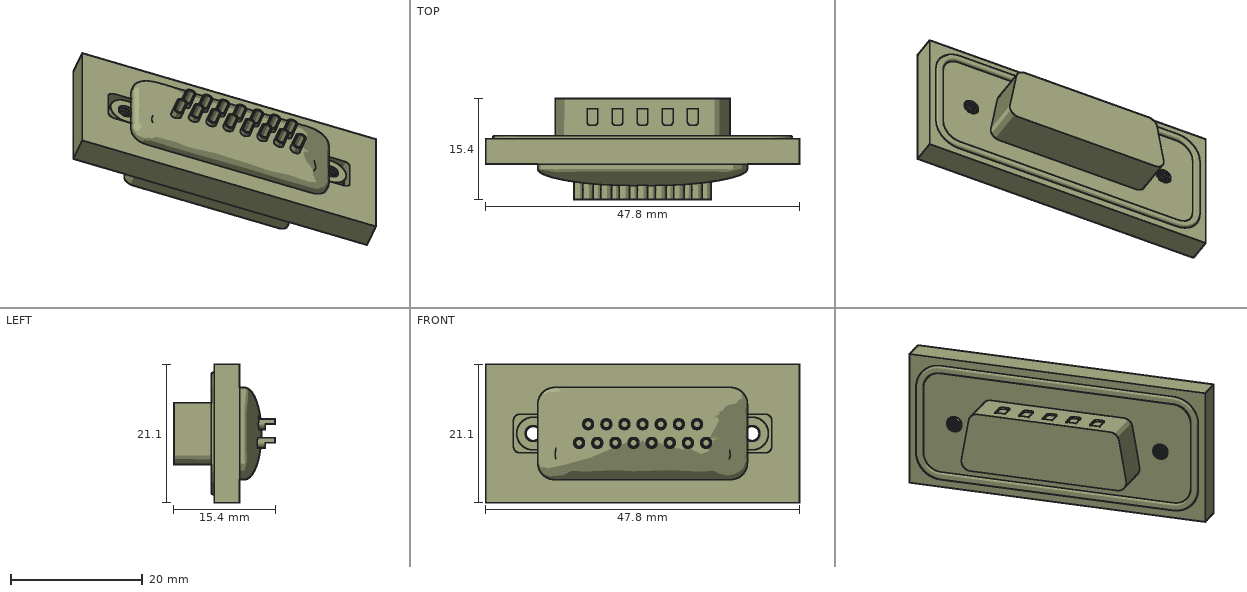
import cadquery as cq
import math


PANEL_LENGTH = 47.78
PANEL_HEIGHT = 21.1
PANEL_THICKNESS = 3.9

SCREW_SPACING = 33.3
BOSS_RADIUS = 2.5
BOSS_RECESS = 0.3
POCKET_OUTER_X = 19.65
POCKET_INNER_X = 14.5
POCKET_HEIGHT = 5.9
POCKET_CORNER_RADIUS = 1.0
POCKET_DEPTH = 2.5

THREAD_MINOR_RADIUS = 1.08
THREAD_MAJOR_RADIUS = 1.2
THREAD_PITCH = 0.6

SEAL_LENGTH = 45.6
SEAL_HEIGHT = 18.6
SEAL_CORNER_RADIUS = 4.0
SEAL_WIDTH = 1.2
SEAL_THICKNESS = 0.43
SEAL_EDGE_RADIUS = 0.33

CORE_WIDTH = 26.64
CORE_HEIGHT = 9.44
CORE_CORNER_RADIUS = 1.5
FLANK_ANGLE = math.radians(10)
CORE_MATING_Y = 10.0
CORE_WIRING_Y = -2.0

DIMPLE_COUNT = 5
DIMPLE_PITCH = 3.82
DIMPLE_WIDTH = 1.63
DIMPLE_MATING_Y = 8.4
DIMPLE_PANEL_Y = 5.92
DIMPLE_CORNER_RADIUS = 0.5
DIMPLE_DEPTH = 0.3

CONTACT_PITCH = 2.76
ROW_SPACING = 2.84
UPPER_ROW_COUNT = 7
LOWER_ROW_COUNT = 8
CONTACT_RADIUS = 0.81
CUP_RADIUS = 0.57
CONTACT_TIP_Y = -5.4
CUP_LIP_Y = -3.9
CUP_FLOOR_Y = -2.6

DOME_LENGTH = 31.92
DOME_HEIGHT = 14.04
DOME_CORNER_RADIUS = 2.6
DOME_RIM = 0.7
DOME_DEPTH = 3.32
DOME_SECTIONS = 10
APEX_SCALE = 0.02


def plane_at(y):
    """Sketch plane across the mating axis: local x is X, local y is Z, its normal is -Y."""
    return cq.Workplane("XZ", origin=(0, y, 0))


def rounded_bar(length, height, radius, y_back, y_front):
    """Rounded rectangle centred on the mating axis, between two y positions."""
    bar = plane_at(y_back).rect(length, height).extrude(y_back - y_front)
    return bar.edges("|Y").fillet(radius)


def core_prism():
    """D-shaped prism of the connector core."""
    half_height = CORE_HEIGHT / 2
    radius = CORE_CORNER_RADIUS
    low_centre = (CORE_WIDTH / 2 - radius, radius - half_height)
    centre_rise = CORE_HEIGHT - 2 * radius
    high_centre = (low_centre[0] - centre_rise * math.tan(FLANK_ANGLE), half_height - radius)

    def on_arc(centre, angle, side):
        return (side * (centre[0] + radius * math.cos(angle)), centre[1] + radius * math.sin(angle))

    down = -math.pi / 2
    up = math.pi / 2
    low_middle = (down + FLANK_ANGLE) / 2
    high_middle = (up + FLANK_ANGLE) / 2
    outline = (
        plane_at(CORE_MATING_Y)
        .moveTo(*on_arc(low_centre, down, -1))
        .lineTo(*on_arc(low_centre, down, 1))
        .threePointArc(on_arc(low_centre, low_middle, 1), on_arc(low_centre, FLANK_ANGLE, 1))
        .lineTo(*on_arc(high_centre, FLANK_ANGLE, 1))
        .threePointArc(on_arc(high_centre, high_middle, 1), on_arc(high_centre, up, 1))
        .lineTo(*on_arc(high_centre, up, -1))
        .threePointArc(on_arc(high_centre, high_middle, -1), on_arc(high_centre, FLANK_ANGLE, -1))
        .lineTo(*on_arc(low_centre, FLANK_ANGLE, -1))
        .threePointArc(on_arc(low_centre, low_middle, -1), on_arc(low_centre, down, -1))
        .close()
    )
    return outline.extrude(CORE_MATING_Y - CORE_WIRING_Y)


def dimple(x):
    """Recess in the core's top face, rounded at the end nearer the panel."""
    length = DIMPLE_MATING_Y - DIMPLE_PANEL_Y
    middle_y = (DIMPLE_MATING_Y + DIMPLE_PANEL_Y) / 2
    return (
        cq.Workplane("XY", origin=(x, middle_y, CORE_HEIGHT / 2 - DIMPLE_DEPTH))
        .rect(DIMPLE_WIDTH, length)
        .extrude(DIMPLE_DEPTH)
        .edges("|Z and <Y")
        .fillet(DIMPLE_CORNER_RADIUS)
    )


def contact_places():
    """X, Z places of all contacts, in two staggered rows."""
    rows = ((UPPER_ROW_COUNT, ROW_SPACING / 2), (LOWER_ROW_COUNT, -ROW_SPACING / 2))
    return [((i - (count - 1) / 2) * CONTACT_PITCH, z) for count, z in rows for i in range(count)]


def contact_rods():
    """Plain cylinders of all contacts, from the core's wiring face to the tips."""
    circles = plane_at(CORE_WIRING_Y).pushPoints(contact_places()).circle(CONTACT_RADIUS)
    return circles.extrude(CORE_WIRING_Y - CONTACT_TIP_Y)


def solder_cup(x, z):
    """Material removed from one rod: the bore, and the lower half beyond the lip."""
    bore = plane_at(CUP_FLOOR_Y).center(x, z).circle(CUP_RADIUS).extrude(CUP_FLOOR_Y - CONTACT_TIP_Y)
    lower_half = (
        plane_at(CUP_LIP_Y)
        .center(x, z - CONTACT_RADIUS / 2)
        .rect(2 * CONTACT_RADIUS, CONTACT_RADIUS)
        .extrude(CUP_LIP_Y - CONTACT_TIP_Y)
    )
    return bore.union(lower_half)


def make_connector():
    """D-shaped core with its dimples and contacts."""
    connector = core_prism().union(contact_rods())
    for i in range(DIMPLE_COUNT):
        connector = connector.cut(dimple((i - (DIMPLE_COUNT - 1) / 2) * DIMPLE_PITCH))
    for x, z in contact_places():
        connector = connector.cut(solder_cup(x, z))
    return connector


def screw_pocket():
    """Pocket at the +X end, leaving the rounded screw boss standing in it."""
    length = POCKET_OUTER_X - POCKET_INNER_X
    screw_x = SCREW_SPACING / 2
    pocket = (
        plane_at(0)
        .center((POCKET_OUTER_X + POCKET_INNER_X) / 2, 0)
        .rect(length, POCKET_HEIGHT)
        .extrude(-POCKET_DEPTH)
        .edges("|Y and >X")
        .fillet(POCKET_CORNER_RADIUS)
    )
    boss = (
        plane_at(BOSS_RECESS)
        .moveTo(POCKET_INNER_X, BOSS_RADIUS)
        .lineTo(screw_x, BOSS_RADIUS)
        .threePointArc((screw_x + BOSS_RADIUS, 0), (screw_x, -BOSS_RADIUS))
        .lineTo(POCKET_INNER_X, -BOSS_RADIUS)
        .close()
        .extrude(BOSS_RECESS - POCKET_DEPTH)
    )
    return pocket.cut(boss)


def threaded_hole():
    """Screw hole at the +X end: V-shaped ring grooves over a plain bore."""
    outline = cq.Workplane("XY", origin=(SCREW_SPACING / 2, 0, 0)).moveTo(0, BOSS_RECESS)
    outline = outline.lineTo(THREAD_MAJOR_RADIUS, BOSS_RECESS)
    turns = math.floor((PANEL_THICKNESS - BOSS_RECESS) / THREAD_PITCH)
    pitch = (PANEL_THICKNESS - BOSS_RECESS) / turns
    for turn in range(turns):
        start = BOSS_RECESS + turn * pitch
        outline = outline.lineTo(THREAD_MINOR_RADIUS, start + pitch / 2)
        outline = outline.lineTo(THREAD_MAJOR_RADIUS, start + pitch)
    return outline.lineTo(0, PANEL_THICKNESS).close().revolve(360, (0, 0), (0, 1))


def make_panel():
    """Rectangular panel with the core's opening, two screw pockets and two threaded holes."""
    panel = plane_at(PANEL_THICKNESS).rect(PANEL_LENGTH, PANEL_HEIGHT).extrude(PANEL_THICKNESS)
    panel = panel.cut(core_prism())
    for cutter in (screw_pocket(), threaded_hole()):
        panel = panel.cut(cutter).cut(cutter.mirror("YZ"))
    return panel


def make_seal():
    """Flat seal ring with rounded upper edges."""
    back = PANEL_THICKNESS + SEAL_THICKNESS
    outer = rounded_bar(SEAL_LENGTH, SEAL_HEIGHT, SEAL_CORNER_RADIUS, back, PANEL_THICKNESS)
    inner = rounded_bar(
        SEAL_LENGTH - 2 * SEAL_WIDTH,
        SEAL_HEIGHT - 2 * SEAL_WIDTH,
        SEAL_CORNER_RADIUS - SEAL_WIDTH,
        back,
        PANEL_THICKNESS,
    )
    return outer.cut(inner).faces(">Y").edges().fillet(SEAL_EDGE_RADIUS)


def dome_section(angle):
    """Rounded rectangle of the crown at an angle along its quarter ellipse, 0 being at the rim."""
    scale = math.cos(angle)
    depth = (DOME_DEPTH - DOME_RIM) * math.sin(angle)
    section = cq.Sketch().rect(DOME_LENGTH * scale, DOME_HEIGHT * scale)
    section = section.vertices().fillet(DOME_CORNER_RADIUS * scale)
    return section.moved(cq.Location(cq.Vector(0, 0, depth)))


def make_dome():
    """Straight rim under a crown of quarter-ellipse profile, moulded around the core and contacts."""
    rim = rounded_bar(DOME_LENGTH, DOME_HEIGHT, DOME_CORNER_RADIUS, 0, -DOME_RIM)
    last_angle = math.acos(APEX_SCALE)
    sections = [dome_section(last_angle * i / DOME_SECTIONS) for i in range(DOME_SECTIONS + 1)]
    crown = plane_at(-DOME_RIM).placeSketch(*sections).loft()
    return rim.union(crown).cut(core_prism()).cut(contact_rods())


connector = make_connector()
panel = make_panel()
seal = make_seal()
dome = make_dome()

result = cq.Compound.makeCompound([panel.val(), seal.val(), connector.val(), dome.val()])